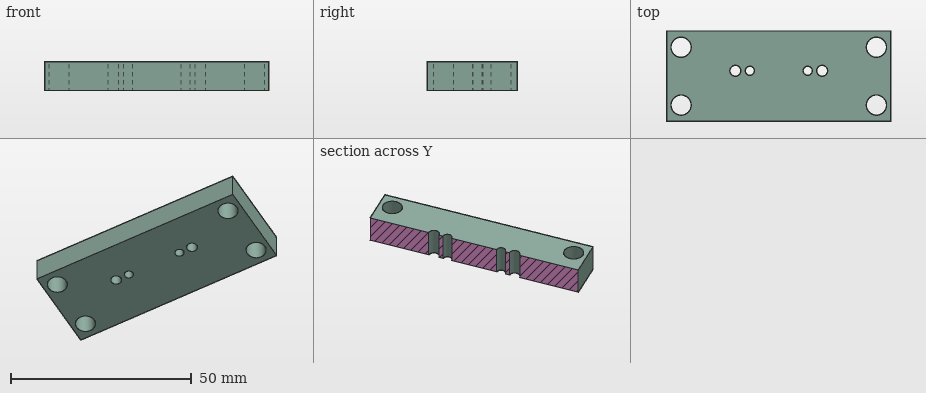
import cadquery as cq

length = 62.0
width = 25.0
thickness = 8.0

mount_diameter = 5.5
mount_spacing_x = 54.0
mount_spacing_y = 16.0

row_offset_y = 1.5
outer_diameter = 3.0
outer_spacing = 24.0
inner_diameter = 2.5
inner_spacing = 16.0


def mirrored_pair(spacing):
    """Two points on the central row, symmetric about the middle of the plate."""
    return [(side * spacing / 2, row_offset_y) for side in (-1, 1)]


plate = cq.Workplane("XY").box(length, width, thickness)

mount_points = [
    (side_x * mount_spacing_x / 2, side_y * mount_spacing_y / 2)
    for side_x in (-1, 1)
    for side_y in (-1, 1)
]

result = plate
for points, diameter in (
    (mount_points, mount_diameter),
    (mirrored_pair(outer_spacing), outer_diameter),
    (mirrored_pair(inner_spacing), inner_diameter),
):
    result = result.faces(">Z").workplane(origin=(0, 0, 0)).pushPoints(points).hole(diameter)